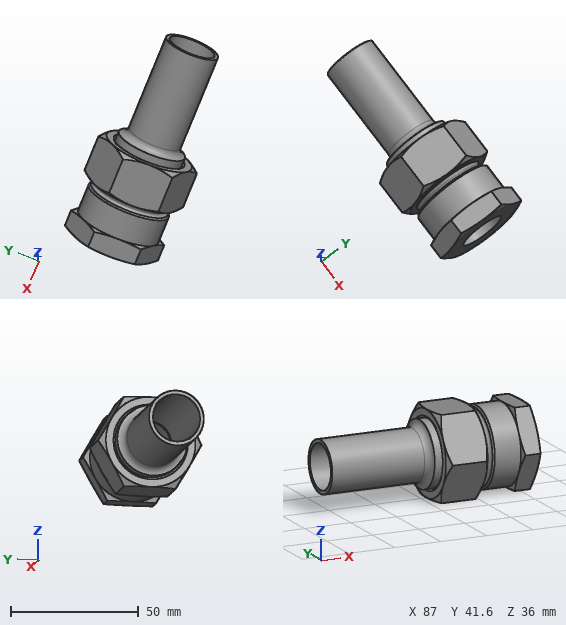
import cadquery as cq
import math

LENGTH = 87.0
TUBE_BORE_DIA = 19.0

TUBE_DIA = 22.0
COLLAR_DIA = 28.1
COLLAR_START = 43.0
JOINT_X = 50.5
NECK_RADIUS = (COLLAR_DIA - TUBE_DIA) / 2

NUT_START = 45.9
NUT_END = 64.0
NUT_ACROSS_FLATS = 36.0
NUT_CHAMFER_ANGLE = 31.0
NUT_MOUTH_DIA = 30.0
NUT_MOUTH_DEPTH = (NUT_MOUTH_DIA - COLLAR_DIA) / 2

BODY_BORE_DIA = 18.45
BORE_ENTRY_DEPTH = (TUBE_BORE_DIA - BODY_BORE_DIA) / 2
SHANK_DIA = 30.3
GROOVE_DIA = 29.3
GROOVE_FLOOR_START = 65.3
GROOVE_FLOOR_LENGTH = 0.5
GROOVE_SHANK_RADIUS = 1.3
GROOVE_WALL_RADIUS = 1.1
BODY_DIA = 34.0
BODY_CHAMFER = 0.7
HEX_START = 79.0
HEX_ACROSS_FLATS = BODY_DIA
HEX_CHAMFER_ANGLE = 15.0


def revolve_about_x(profile):
    """Revolve a closed XY profile (X axial, Y radial) about the X axis."""
    return profile.close().revolve(360, (0, 0, 0), (1, 0, 0))


def chamfered_hexagon(x_start, x_end, across_flats, chamfer_angle):
    """Hexagon with corners on +Y and -Y, its corners turned down conically at both ends."""
    corner_radius = across_flats / math.sqrt(3)
    face_radius = across_flats / 2
    chamfer_length = (corner_radius - face_radius) * math.tan(math.radians(chamfer_angle))
    prism = (
        cq.Workplane("YZ", origin=(x_start, 0, 0))
        .polygon(6, 2 * corner_radius)
        .extrude(x_end - x_start)
    )
    envelope = revolve_about_x(
        cq.Workplane("XY")
        .moveTo(x_start, 0)
        .lineTo(x_start, face_radius)
        .lineTo(x_start + chamfer_length, corner_radius)
        .lineTo(x_end - chamfer_length, corner_radius)
        .lineTo(x_end, face_radius)
        .lineTo(x_end, 0)
    )
    return prism.intersect(envelope)


def make_tube():
    return revolve_about_x(
        cq.Workplane("XY")
        .moveTo(0, TUBE_BORE_DIA / 2)
        .lineTo(0, TUBE_DIA / 2)
        .lineTo(COLLAR_START - NECK_RADIUS, TUBE_DIA / 2)
        .radiusArc((COLLAR_START, COLLAR_DIA / 2), -NECK_RADIUS)
        .lineTo(JOINT_X, COLLAR_DIA / 2)
        .lineTo(JOINT_X, TUBE_BORE_DIA / 2)
    )


def make_nut():
    nut = chamfered_hexagon(NUT_START, NUT_END, NUT_ACROSS_FLATS, NUT_CHAMFER_ANGLE)
    cavity = revolve_about_x(
        cq.Workplane("XY")
        .moveTo(NUT_START, 0)
        .lineTo(NUT_START, NUT_MOUTH_DIA / 2)
        .lineTo(NUT_START + NUT_MOUTH_DEPTH, COLLAR_DIA / 2)
        .lineTo(JOINT_X, COLLAR_DIA / 2)
        .lineTo(JOINT_X, SHANK_DIA / 2)
        .lineTo(NUT_END, SHANK_DIA / 2)
        .lineTo(NUT_END, 0)
    )
    return nut.cut(cavity)


def make_threaded_body():
    floor_end = GROOVE_FLOOR_START + GROOVE_FLOOR_LENGTH
    wall_x = floor_end + GROOVE_WALL_RADIUS
    groove_rise = (SHANK_DIA - GROOVE_DIA) / 2
    run_out = math.sqrt(GROOVE_SHANK_RADIUS**2 - (GROOVE_SHANK_RADIUS - groove_rise) ** 2)
    barrel = revolve_about_x(
        cq.Workplane("XY")
        .moveTo(JOINT_X, 0)
        .lineTo(JOINT_X, SHANK_DIA / 2)
        .lineTo(GROOVE_FLOOR_START - run_out, SHANK_DIA / 2)
        .radiusArc((GROOVE_FLOOR_START, GROOVE_DIA / 2), -GROOVE_SHANK_RADIUS)
        .lineTo(floor_end, GROOVE_DIA / 2)
        .radiusArc((wall_x, GROOVE_DIA / 2 + GROOVE_WALL_RADIUS), -GROOVE_WALL_RADIUS)
        .lineTo(wall_x, BODY_DIA / 2 - BODY_CHAMFER)
        .lineTo(wall_x + BODY_CHAMFER, BODY_DIA / 2)
        .lineTo(HEX_START, BODY_DIA / 2)
        .lineTo(HEX_START, 0)
    )
    hexagon = chamfered_hexagon(HEX_START, LENGTH, HEX_ACROSS_FLATS, HEX_CHAMFER_ANGLE)
    bore = revolve_about_x(
        cq.Workplane("XY")
        .moveTo(JOINT_X, 0)
        .lineTo(JOINT_X, TUBE_BORE_DIA / 2)
        .lineTo(JOINT_X + BORE_ENTRY_DEPTH, BODY_BORE_DIA / 2)
        .lineTo(LENGTH, BODY_BORE_DIA / 2)
        .lineTo(LENGTH, 0)
    )
    return barrel.union(hexagon).cut(bore)


tube = make_tube()
nut = make_nut()
threaded_body = make_threaded_body()

result = cq.Compound.makeCompound([tube.val(), nut.solids().val(), threaded_body.solids().val()])